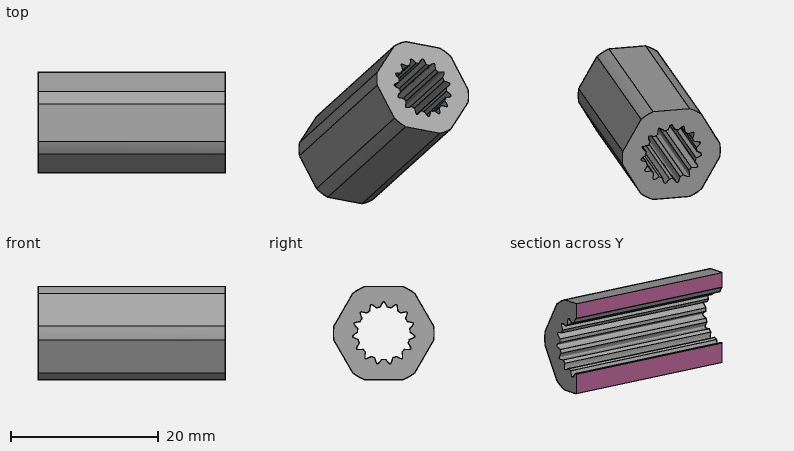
import cadquery as cq
import math

length = 25.4
across_flats = 12.7
corner_diameter = 13.7

groove_count = 15
bore_radius = 3.55
groove_tip_radius = 4.25
groove_mouth_half_width = 0.48
groove_shoulder_half_width = 0.25
groove_shoulder_height = 4.0


def make_body():
    """Hexagonal bar with flats on +Z and -Z, and its corners rounded."""
    across_corners = across_flats / math.cos(math.pi / 6)
    hexagon = cq.Workplane("YZ").polygon(6, across_corners).extrude(length)
    envelope = cq.Workplane("YZ").circle(corner_diameter / 2).extrude(length)
    return hexagon.intersect(envelope)


def make_groove():
    """Cutter for the groove at +Z, narrowing smoothly from its mouth to a rounded bottom."""
    mouth_height = math.sqrt(bore_radius**2 - groove_mouth_half_width**2)
    wall_points = [
        (groove_shoulder_half_width, groove_shoulder_height),
        (0, groove_tip_radius),
        (-groove_shoulder_half_width, groove_shoulder_height),
        (-groove_mouth_half_width, mouth_height),
    ]
    return (
        cq.Workplane("YZ")
        .lineTo(groove_mouth_half_width, mouth_height)
        .spline(wall_points, includeCurrent=True)
        .close()
        .extrude(length)
    )


def make_splined_bore():
    """Round bore joined with the ring of evenly spaced grooves."""
    bore = cq.Workplane("YZ").circle(bore_radius).extrude(length)
    groove = make_groove()
    for index in range(groove_count):
        angle = index * 360 / groove_count
        bore = bore.union(groove.rotate((0, 0, 0), (1, 0, 0), angle))
    return bore


result = make_body().cut(make_splined_bore())